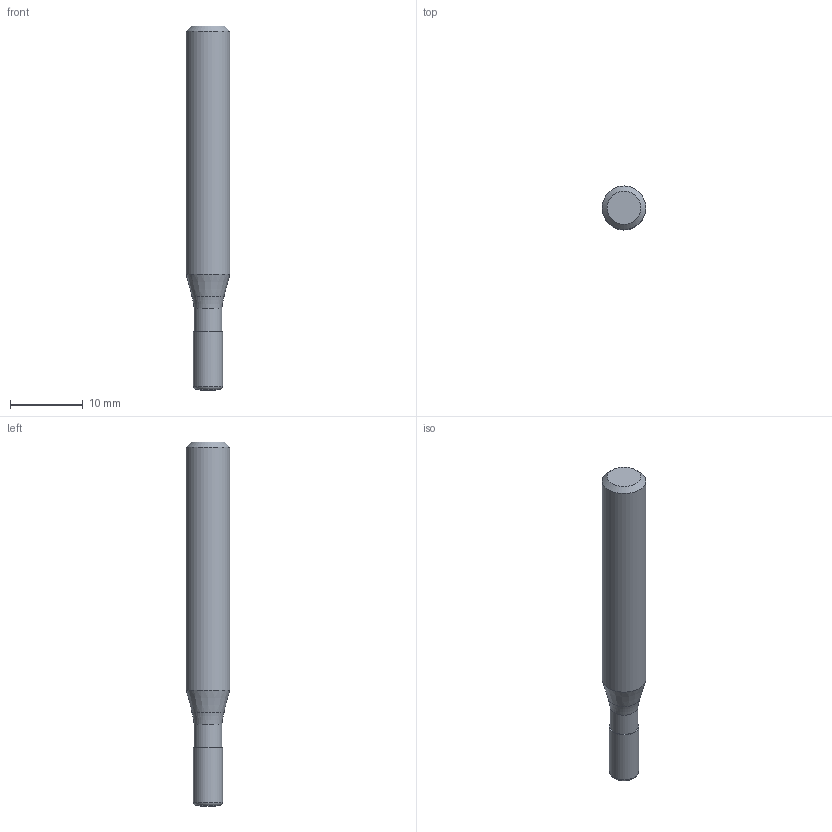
import cadquery as cq
import math

overall_length = 50.0
shank_radius = 3.0
shank_chamfer = 0.7
shank_start = 15.9

head_radius = 2.0
head_length = 8.0
corner_radius = 0.4
tip_radius = 1.05
tip_cone_angle = math.radians(8)

neck_radius = 1.9
neck_top = 11.25
blend_height = 1.65
blend_start_angle = math.radians(6)
blend_end_angle = math.radians(14.6)
blend_radius = blend_height / (math.sin(blend_end_angle) - math.sin(blend_start_angle))

corner_center_radius = head_radius - corner_radius
cone_end_radius = corner_center_radius + corner_radius * math.sin(tip_cone_angle)
cone_end_height = (cone_end_radius - tip_radius) * math.tan(tip_cone_angle)
corner_center_height = cone_end_height + corner_radius * math.cos(tip_cone_angle)


def corner_point(angle):
    """Point on the head's corner arc, at an angle measured from the tip direction."""
    return (
        corner_center_radius + corner_radius * math.sin(angle),
        corner_center_height - corner_radius * math.cos(angle),
    )


def blend_point(angle):
    """Point on the blend arc where its surface leans from the axis by the given angle."""
    return (
        neck_radius + blend_radius * (math.cos(blend_start_angle) - math.cos(angle)),
        neck_top + blend_radius * (math.sin(angle) - math.sin(blend_start_angle)),
    )


def revolve_about_axis(profile):
    """Turn a closed profile a full circle about the Z axis."""
    return profile.revolve(360, (0, 0, 0), (0, 1, 0))


def head_body():
    """Cutting head: a cylinder with a rounded corner and a shallow truncated cone end."""
    side_angle = math.pi / 2
    profile = (
        cq.Workplane("XZ")
        .lineTo(tip_radius, 0)
        .lineTo(cone_end_radius, cone_end_height)
        .threePointArc(
            corner_point((tip_cone_angle + side_angle) / 2),
            corner_point(side_angle),
        )
        .lineTo(head_radius, head_length)
        .lineTo(0, head_length)
        .close()
    )
    return revolve_about_axis(profile)


def holder_body():
    """Neck, concave blend, straight taper and chamfered shank as one body."""
    profile = (
        cq.Workplane("XZ")
        .moveTo(0, head_length)
        .lineTo(neck_radius, head_length)
        .lineTo(neck_radius, neck_top)
        .threePointArc(
            blend_point((blend_start_angle + blend_end_angle) / 2),
            blend_point(blend_end_angle),
        )
        .lineTo(shank_radius, shank_start)
        .lineTo(shank_radius, overall_length - shank_chamfer)
        .lineTo(shank_radius - shank_chamfer, overall_length)
        .lineTo(0, overall_length)
        .close()
    )
    return revolve_about_axis(profile)


head = head_body()
holder = holder_body()

result = cq.Compound.makeCompound([head.val(), holder.val()])